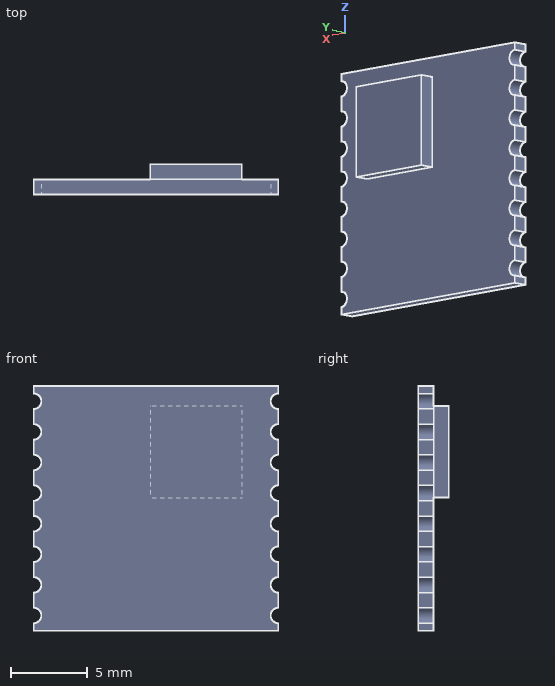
import cadquery as cq

board_side = 16.0
board_thickness = 1.0

notch_radius = 0.5
notch_pitch = 2.0
notches_per_edge = 8

chip_side = 6.0
chip_thickness = 1.0
chip_center_x = 2.62
chip_center_z = 3.7


def make_board():
    """Plain square plate, centred on X and Z."""
    return cq.Workplane("XY").box(
        board_side, board_thickness, board_side, centered=(True, False, True)
    )


def make_notch_cutters():
    """Cylinders along Y, centred on the left and right board edges."""
    first_z = -notch_pitch * (notches_per_edge - 1) / 2
    centers = [
        (edge_x, first_z + i * notch_pitch)
        for edge_x in (-board_side / 2, board_side / 2)
        for i in range(notches_per_edge)
    ]
    return cq.Workplane("XZ").pushPoints(centers).circle(notch_radius).extrude(-board_thickness)


def make_chip():
    """Square block seated on the back face of the board."""
    return (
        cq.Workplane("XY")
        .box(chip_side, chip_thickness, chip_side, centered=(True, False, True))
        .translate((chip_center_x, board_thickness, chip_center_z))
    )


result = make_board().cut(make_notch_cutters()).union(make_chip())